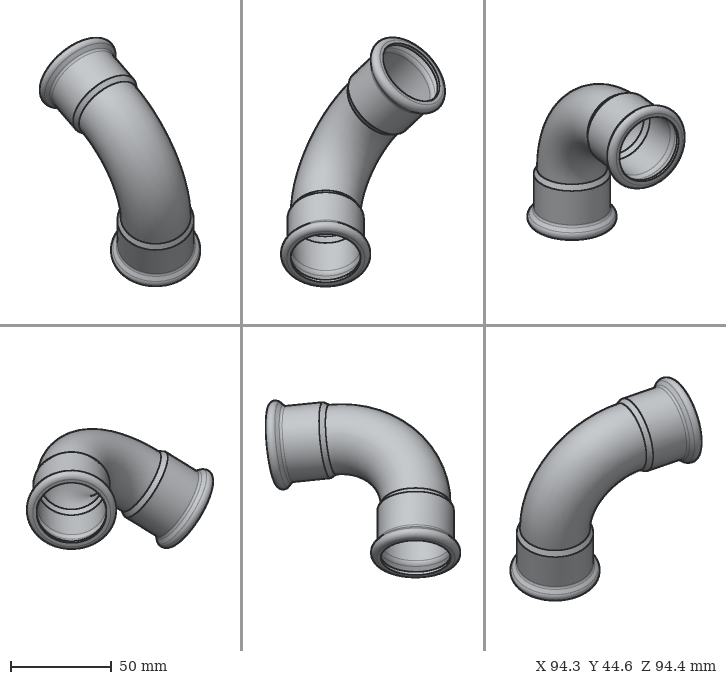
import cadquery as cq
import math

length = 94.35
bead_outer_radius = 22.3
bead_section_radius = 2.9
socket_radius = 19.1
tube_radius = 17.5
wall = 1.7
neck_fillet = 2.0
neck_end = 8.2
socket_end = 27.0
taper_end = 29.9

bend_radius = length - bead_outer_radius - taper_end
bead_center_radius = bead_outer_radius - bead_section_radius
bore_radius = socket_radius - wall
neck_center_radius = socket_radius + neck_fillet
SLOPE = math.radians(45)


def arc_point(center, radius, angle):
    """Point on a profile arc, as (distance from axis, distance from mouth)."""
    return (
        center[0] + radius * math.sin(angle),
        center[1] + radius * math.cos(angle),
    )


def socket():
    """Press socket around Z, with its mouth at Z = 0 and the tube end on top."""
    bead_center = (bead_center_radius, bead_section_radius)
    neck_center = (neck_center_radius, neck_end)
    bead_inner = bead_section_radius - wall
    neck_inner = neck_fillet + wall
    neck_angle = SLOPE + math.pi
    neck_mid = (neck_angle + 1.5 * math.pi) / 2
    bead_mid = (SLOPE + math.pi) / 2

    profile = (
        cq.Workplane("XZ")
        .moveTo(bore_radius, 0)
        .lineTo(bead_center_radius, 0)
        .threePointArc(
            arc_point(bead_center, bead_section_radius, bead_mid),
            arc_point(bead_center, bead_section_radius, SLOPE),
        )
        .lineTo(*arc_point(neck_center, neck_fillet, neck_angle))
        .threePointArc(
            arc_point(neck_center, neck_fillet, neck_mid),
            (socket_radius, neck_end),
        )
        .lineTo(socket_radius, socket_end)
        .lineTo(tube_radius, taper_end)
        .lineTo(tube_radius - wall, taper_end)
        .lineTo(bore_radius, socket_end)
        .lineTo(bore_radius, neck_end)
        .threePointArc(
            arc_point(neck_center, neck_inner, neck_mid),
            arc_point(neck_center, neck_inner, neck_angle),
        )
        .lineTo(*arc_point(bead_center, bead_inner, SLOPE))
        .threePointArc(
            arc_point(bead_center, bead_inner, bead_mid),
            (bead_center_radius, wall),
        )
        .lineTo(bore_radius, wall)
        .close()
    )
    return profile.revolve(360, (0, 0, 0), (0, 1, 0))


def bend():
    """Quarter-turn tube joining the tops of the two sockets."""
    return (
        cq.Workplane("XY")
        .workplane(offset=taper_end)
        .circle(tube_radius)
        .circle(tube_radius - wall)
        .revolve(90, (-bend_radius, 0, 0), (-bend_radius, -1, 0))
    )


upper_axis_height = length - bead_outer_radius
lower_socket = socket()
upper_socket = (
    socket()
    .rotate((0, 0, 0), (0, 1, 0), 90)
    .translate((-upper_axis_height, 0, upper_axis_height))
)

result = lower_socket.union(bend()).union(upper_socket)